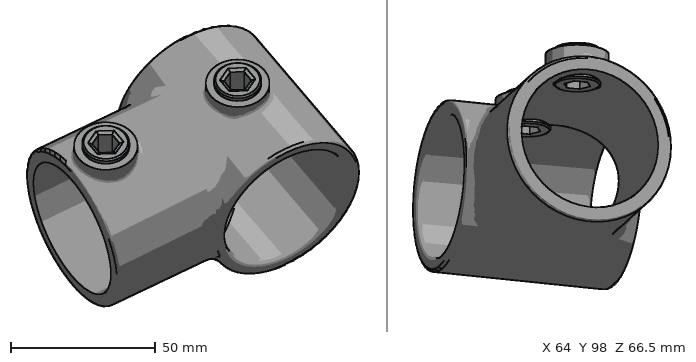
import cadquery as cq
import math

tube_radius = 60.0 / 2
bore_radius = 50 / 2
run_length = 64.0
total_depth = 98
total_height = 66.5
branch_length = total_depth - tube_radius

rim_fillet = 1.0
run_mouth_fillet = 2.0
junction_fillet = 5.0
boss_fillet = 2.0

tolerance = 0.01

screw_spacing = 54.2
screw_positions = [(0, 0), (0, -screw_spacing)]
boss_radius = 22.0 / 2
screw_proud = 2.0
screw_top = total_height - tube_radius
boss_top = screw_top - screw_proud

screw_radius = 16.5 / 2
screw_end_radius = 15.3 / 2
screw_chamfer = screw_radius - screw_end_radius
screw_bottom = 23.5
screw_length = screw_top - screw_bottom
socket_flats = 8.2
socket_mouth_flats = 10.7
socket_taper_depth = 0.7
corners_per_flats = 1 / math.cos(math.pi / 6)


def run_bore():
    return cq.Workplane("YZ", origin=(-run_length / 2, 0, 0)).circle(bore_radius).extrude(run_length)


def branch_cylinder(radius):
    return cq.Workplane("XZ").circle(radius).extrude(branch_length)


def vertical_cylinders(radius, top):
    return cq.Workplane("XY").pushPoints(screw_positions).circle(radius).extrude(top)


def make_outer_tee():
    """Solid tee with rounded rims and a rolled fillet where the tubes meet."""
    run = cq.Workplane("YZ").circle(tube_radius).extrude(run_length / 2, both=True)
    run = run.faces("<X or >X").edges().fillet(rim_fillet)
    branch = branch_cylinder(tube_radius).faces("<Y").edges().fillet(rim_fillet)
    tee = run.union(branch)
    junction = tee.edges().filter(
        lambda edge: edge.geomType() not in ("LINE", "CIRCLE")
    )
    return junction.fillet(junction_fillet)


def add_bosses(tee):
    """Add the bosses and round the curves at their feet."""
    body = tee.union(vertical_cylinders(boss_radius, boss_top))

    def is_boss_foot(edge):
        on_boss = any(
            all(
                abs(math.hypot(point.x - x, point.y - y) - boss_radius) < tolerance
                for point in edge.positions([0, 0.3, 0.7, 1])
            )
            for x, y in screw_positions
        )
        return on_boss and edge.geomType() not in ("LINE", "CIRCLE")

    return body.edges().filter(is_boss_foot).fillet(boss_fillet)


def make_housing():
    housing = add_bosses(make_outer_tee())
    housing = housing.cut(run_bore())

    def is_run_mouth(edge):
        at_end = abs(abs(edge.Center().x) - run_length / 2) < tolerance
        return at_end and edge.geomType() == "CIRCLE" and abs(edge.radius() - bore_radius) < tolerance

    housing = housing.edges().filter(is_run_mouth).fillet(run_mouth_fillet)
    housing = housing.cut(branch_cylinder(bore_radius))
    return housing.cut(vertical_cylinders(screw_radius, screw_top))


def make_screw(x, y):
    """Grub screw chamfered at both ends, with a through hexagon socket."""
    screw = (
        cq.Workplane("XY", origin=(x, y, screw_bottom))
        .circle(screw_radius)
        .extrude(screw_length)
        .faces("<Z or >Z")
        .chamfer(screw_chamfer)
    )
    socket = (
        cq.Workplane("XY", origin=(x, y, screw_bottom))
        .polygon(6, socket_flats * corners_per_flats)
        .extrude(screw_length)
    )
    mouth = (
        cq.Workplane("XY", origin=(x, y, screw_top))
        .polygon(6, socket_mouth_flats * corners_per_flats)
        .workplane(offset=-socket_taper_depth)
        .polygon(6, socket_flats * corners_per_flats)
        .loft(ruled=True)
    )
    return screw.cut(socket).cut(mouth)


housing = make_housing()
screws = [make_screw(x, y) for x, y in screw_positions]
result = cq.Compound.makeCompound([housing.val(), *[screw.val() for screw in screws]])